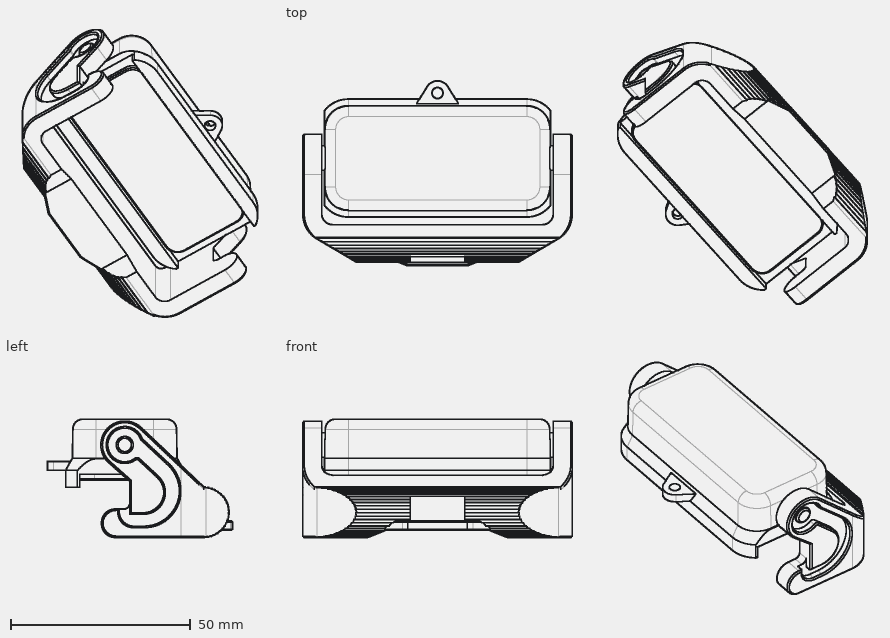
import cadquery as cq
import math


LEVER_WIDTH = 75.0
ARM_THICKNESS = 5.3
PIVOT_Z = 25.8
HEAD_RADIUS = 6.65
EDGE_CHAMFER = 0.45

PICK_MARGIN = 0.1

HALF_WIDTH = LEVER_WIDTH / 2
ARM_INNER_X = HALF_WIDTH - ARM_THICKNESS

GRIP_RADIUS = 7.05
GRIP_Y = -22.0
GRIP_BACK_Y = -18.5
GRIP_INNER_CORNER = 3.0
TOOTH_HEIGHT = 0.2
TOOTH_PITCH = 8.0
TOOTH_COUNT = 22
FIRST_TOOTH_ANGLE = 87.0

CORNER_RADIUS = 8.0
CORNER_START_Y = -15.6
END_ANGLE = 30.5

HOOK_HEIGHT = 8.0
HOOK_TIP_Y = 6.5
THROAT_Y = -1.36
THROAT_TOP_Z = 15.7
THROAT_FILLET = 1.5

TRACK_DEPTH = 2.2
TRACK_HEAD_RADIUS = 4.7
TRACK_ANGLE = 43.0
TRACK_BEND_Y = -5.2
TRACK_BEND_Z = 12.6
TRACK_OUTER_BEND_Y = -5.4
TRACK_OUTER_RADIUS = 9.8
TRACK_FLOOR_Z = 3.2
TRACK_END_Y = 1.5
TRACK_END_RADIUS = 4.0
TRACK_CORNER = 1.0
PIN_END_RADIUS = 2.37
PIN_END_HEIGHT = 1.0
PIN_END_CHAMFER = 0.5

PATCH_WIDTH = 15.1
PATCH_TOP_Z = 11.45
NOTCH_TOP_Z = 4.7
NOTCH_TOP_HALF = 11.5
NOTCH_KNEE_HALF = 14.5
NOTCH_KNEE_Z = 2.0
NOTCH_BASE_HALF = 19.5
TONGUE_TIP_Y = -30.0
TONGUE_TIP_HALF = 8.3
TONGUE_SIDE_Y = -29.4
TONGUE_SIDE_HALF = 9.8
TONGUE_ROOT_Y = -27.5
TONGUE_CHAMFER = 0.4

HOOD_TOP_Z = 33.0
HOOD_HALF_X = 31.4
HOOD_HALF_Y = 14.6
HOOD_CORNER = 6.6
HOOD_DRAFT = 1.0
HOOD_TOP_FILLET = 2.85
FLARE_TOP_Z = 22.1
FLARE_BASE_Z = 18.7
FLARE_GROWTH = 1.85
SKIRT_BASE_Z = 17.6
SKIRT_HALF_X = 31.5
WALL_BASE_Z = 14.0
WALL_INNER_Y = 12.5
LIP_BASE_Z = 16.0
LIP_HALF_X = 29.0
LIP_HALF_Y = WALL_INNER_Y
LIP_CORNER = 4.0
LIP_CHAMFER = 0.4
PIVOT_PIN_RADIUS = 3.45

TAB_BASE_Z = 18.7
TAB_THICKNESS = 2.5
TAB_HOLE_Y = 18.1
TAB_TIP_RADIUS = 3.4
TAB_HOLE_RADIUS = 1.5
TAB_ROOT_HALF = 5.8
TAB_ROOT_Y = 15.2


def polar(centre, radius, degrees):
    angle = math.radians(degrees)
    return (centre[0] + radius * math.cos(angle), centre[1] + radius * math.sin(angle))


def tangent_angle(point, centre, radius, side):
    """Angle on the circle where the tangent from an outside point touches it."""
    dx = point[0] - centre[0]
    dy = point[1] - centre[1]
    spread = math.degrees(math.acos(radius / math.hypot(dx, dy)))
    return math.degrees(math.atan2(dy, dx)) + side * spread


def block(x_half, y_range, z_range):
    return (
        cq.Workplane("XY")
        .box(2 * x_half, y_range[1] - y_range[0], z_range[1] - z_range[0], centered=(True, False, False))
        .translate((0, y_range[0], z_range[0]))
    )


def rounded_plate(half_x, half_y, corner, base_z, height, taper=0.0):
    sketch = cq.Sketch().rect(2 * half_x, 2 * half_y).vertices().fillet(corner)
    return cq.Workplane("XY").workplane(offset=base_z).placeSketch(sketch).extrude(height, taper=taper)


def lever_side():
    """Side outline of head, arm and hook, run across the whole width and flat where the grip joins."""
    pivot = (0.0, PIVOT_Z)
    grip_top = (GRIP_Y, 2 * GRIP_RADIUS)
    throat_top = (THROAT_Y, THROAT_TOP_Z)
    hook_radius = HOOK_HEIGHT / 2
    hook_y = HOOK_TIP_Y - hook_radius
    front_angle = tangent_angle(grip_top, pivot, HEAD_RADIUS, -1)
    rear_angle = tangent_angle(throat_top, pivot, HEAD_RADIUS, 1)

    return (
        cq.Workplane("YZ")
        .moveTo(*grip_top)
        .lineTo(GRIP_Y, 0)
        .lineTo(hook_y, 0)
        .threePointArc((HOOK_TIP_Y, hook_radius), (hook_y, HOOK_HEIGHT))
        .lineTo(THROAT_Y + THROAT_FILLET, HOOK_HEIGHT)
        .radiusArc((THROAT_Y, HOOK_HEIGHT + THROAT_FILLET), THROAT_FILLET)
        .lineTo(*throat_top)
        .lineTo(*polar(pivot, HEAD_RADIUS, rear_angle))
        .threePointArc(
            polar(pivot, HEAD_RADIUS, (front_angle % 360 + rear_angle % 360 - 360) / 2),
            polar(pivot, HEAD_RADIUS, front_angle),
        )
        .close()
        .extrude(HALF_WIDTH, both=True)
    )


def grip():
    """Half-round front of the bar, with saw teeth whose ledges face down and run along X."""
    centre = (GRIP_Y, GRIP_RADIUS)
    outline = cq.Workplane("YZ").moveTo(GRIP_Y, 2 * GRIP_RADIUS)
    for tooth in range(TOOTH_COUNT):
        angle = 180 - FIRST_TOOTH_ANGLE + tooth * TOOTH_PITCH
        outline = outline.lineTo(*polar(centre, GRIP_RADIUS, angle))
        outline = outline.lineTo(*polar(centre, GRIP_RADIUS - TOOTH_HEIGHT, angle))
    return outline.lineTo(GRIP_Y, 0).close().extrude(HALF_WIDTH, both=True)


def lever_plan():
    """U-shaped outline of the lever from above: two arms and a bar with slanted ends."""
    turn = math.radians(90 - END_ANGLE)
    corner_x = HALF_WIDTH - CORNER_RADIUS * (1 - math.cos(turn))
    corner_y = CORNER_START_Y - CORNER_RADIUS * math.sin(turn)
    front_y = GRIP_Y - GRIP_RADIUS
    front_x = corner_x - (corner_y - front_y) / math.tan(math.radians(END_ANGLE))
    mid_x = HALF_WIDTH - CORNER_RADIUS * (1 - math.cos(turn / 2))
    mid_y = CORNER_START_Y - CORNER_RADIUS * math.sin(turn / 2)
    outer = (
        cq.Workplane("XY")
        .moveTo(-HALF_WIDTH, HEAD_RADIUS)
        .lineTo(-HALF_WIDTH, CORNER_START_Y)
        .threePointArc((-mid_x, mid_y), (-corner_x, corner_y))
        .lineTo(-front_x, front_y)
        .lineTo(front_x, front_y)
        .lineTo(corner_x, corner_y)
        .threePointArc((mid_x, mid_y), (HALF_WIDTH, CORNER_START_Y))
        .lineTo(HALF_WIDTH, HEAD_RADIUS)
        .close()
        .extrude(HOOD_TOP_Z)
    )
    inner = block(ARM_INNER_X, (GRIP_BACK_Y, HEAD_RADIUS), (0, HOOD_TOP_Z))
    return outer.cut(inner.edges("|Z and <Y").fillet(GRIP_INNER_CORNER))


def distance_below_run(point):
    """Distance from a (Y, Z) point down to the sloped line through the pivot."""
    run = math.radians(TRACK_ANGLE)
    return (PIVOT_Z - point[1]) * math.cos(run) + point[0] * math.sin(run)


def track():
    """Sunk track on the -X arm: a disc at the pivot, a straight run, a bend and an end in the hook."""
    floor_x = -HALF_WIDTH + TRACK_DEPTH
    pivot = (0.0, PIVOT_Z)
    bend = (TRACK_BEND_Y, TRACK_BEND_Z)
    outer_bend = (TRACK_OUTER_BEND_Y, TRACK_FLOOR_Z + TRACK_OUTER_RADIUS)
    inner_radius = distance_below_run(bend)
    run_width = TRACK_OUTER_RADIUS - distance_below_run(outer_bend)
    run_normal = 90 + TRACK_ANGLE
    mid_bend = (run_normal + 270) / 2
    end_centre = (TRACK_END_Y - TRACK_END_RADIUS, TRACK_FLOOR_Z + TRACK_END_RADIUS)
    path = (
        cq.Workplane("YZ", origin=(floor_x, 0, 0))
        .moveTo(*pivot)
        .lineTo(*polar(bend, inner_radius, run_normal))
        .threePointArc(polar(bend, inner_radius, mid_bend), polar(bend, inner_radius, 270))
        .lineTo(THROAT_Y, TRACK_BEND_Z - inner_radius)
        .lineTo(THROAT_Y, THROAT_TOP_Z)
        .lineTo(TRACK_END_Y, THROAT_TOP_Z)
        .lineTo(TRACK_END_Y, end_centre[1])
        .threePointArc(polar(end_centre, TRACK_END_RADIUS, 315), polar(end_centre, TRACK_END_RADIUS, 270))
        .lineTo(TRACK_OUTER_BEND_Y, TRACK_FLOOR_Z)
        .threePointArc(
            polar(outer_bend, TRACK_OUTER_RADIUS, mid_bend),
            polar(outer_bend, TRACK_OUTER_RADIUS, run_normal),
        )
        .lineTo(*polar(pivot, run_width, run_normal))
        .close()
        .extrude(-TRACK_DEPTH)
    )
    disc = cq.Workplane("YZ", origin=(floor_x, 0, PIVOT_Z)).circle(TRACK_HEAD_RADIUS).extrude(-TRACK_DEPTH)
    joint = cq.selectors.BoxSelector(
        (-HALF_WIDTH, -TRACK_HEAD_RADIUS - PICK_MARGIN, PIVOT_Z - TRACK_HEAD_RADIUS),
        (floor_x, -PIN_END_RADIUS, PIVOT_Z + TRACK_HEAD_RADIUS),
    )
    whole = path.union(disc).edges("|X").edges(joint).fillet(TRACK_CORNER)
    pin_end = cq.Workplane("YZ", origin=(floor_x, 0, PIVOT_Z)).circle(PIN_END_RADIUS).extrude(-PIN_END_HEIGHT)
    return whole.cut(pin_end.faces("<X").chamfer(PIN_END_CHAMFER))


def label_patch():
    barrel = (
        cq.Workplane("YZ", origin=(-PATCH_WIDTH / 2, GRIP_Y, GRIP_RADIUS))
        .circle(GRIP_RADIUS)
        .extrude(PATCH_WIDTH)
    )
    return barrel.intersect(block(PATCH_WIDTH, (GRIP_Y - GRIP_RADIUS, GRIP_Y), (0, PATCH_TOP_Z)))


def finger_notch():
    return (
        cq.Workplane("XZ", origin=(0, GRIP_BACK_Y, 0))
        .polyline(
            [
                (-NOTCH_BASE_HALF, 0),
                (-NOTCH_KNEE_HALF, NOTCH_KNEE_Z),
                (-NOTCH_TOP_HALF, NOTCH_TOP_Z),
                (NOTCH_TOP_HALF, NOTCH_TOP_Z),
                (NOTCH_KNEE_HALF, NOTCH_KNEE_Z),
                (NOTCH_BASE_HALF, 0),
            ]
        )
        .close()
        .extrude(GRIP_BACK_Y - TONGUE_TIP_Y)
    )


def tongue():
    """Plate closing the notch from behind, reaching out past the grip at its front."""
    front = cq.selectors.BoxSelector(
        (-NOTCH_KNEE_HALF, TONGUE_TIP_Y - PICK_MARGIN, 0), (NOTCH_KNEE_HALF, TONGUE_ROOT_Y, HOOD_TOP_Z)
    )
    return (
        cq.Workplane("XY", origin=(0, 0, NOTCH_KNEE_Z))
        .polyline(
            [
                (-NOTCH_KNEE_HALF, GRIP_BACK_Y),
                (-NOTCH_KNEE_HALF, TONGUE_ROOT_Y),
                (-TONGUE_SIDE_HALF, TONGUE_SIDE_Y),
                (-TONGUE_TIP_HALF, TONGUE_TIP_Y),
                (TONGUE_TIP_HALF, TONGUE_TIP_Y),
                (TONGUE_SIDE_HALF, TONGUE_SIDE_Y),
                (NOTCH_KNEE_HALF, TONGUE_ROOT_Y),
                (NOTCH_KNEE_HALF, GRIP_BACK_Y),
            ]
        )
        .close()
        .extrude(NOTCH_TOP_Z - NOTCH_KNEE_Z)
        .edges("#Z")
        .edges(front)
        .chamfer(TONGUE_CHAMFER)
    )


def lever():
    plan = lever_plan()
    body = lever_side().intersect(plan)
    left_track = track()
    body = body.cut(left_track).cut(left_track.mirror("YZ"))
    corner_line = cq.selectors.BoxSelector(
        (-LEVER_WIDTH, CORNER_START_Y - PICK_MARGIN, 0),
        (LEVER_WIDTH, CORNER_START_Y + PICK_MARGIN, HOOD_TOP_Z),
    )
    for side in ("<X", ">X"):
        body = body.faces(side).edges(-corner_line).chamfer(EDGE_CHAMFER)
    body = body.union(grip().intersect(plan)).union(label_patch())
    return body.cut(finger_notch()).union(tongue())


def tether_tab():
    hole_centre = (0.0, TAB_HOLE_Y)
    root = (TAB_ROOT_HALF, TAB_ROOT_Y)
    touch = polar(hole_centre, TAB_TIP_RADIUS, tangent_angle(root, hole_centre, TAB_TIP_RADIUS, 1))
    return (
        cq.Workplane("XY", origin=(0, 0, TAB_BASE_Z))
        .moveTo(TAB_ROOT_HALF, HOOD_HALF_Y)
        .lineTo(*root)
        .lineTo(*touch)
        .threePointArc((0, TAB_HOLE_Y + TAB_TIP_RADIUS), (-touch[0], touch[1]))
        .lineTo(-TAB_ROOT_HALF, TAB_ROOT_Y)
        .lineTo(-TAB_ROOT_HALF, HOOD_HALF_Y)
        .close()
        .moveTo(*hole_centre)
        .circle(TAB_HOLE_RADIUS)
        .extrude(TAB_THICKNESS)
    )


def hood():
    cap = rounded_plate(
        HOOD_HALF_X, HOOD_HALF_Y, HOOD_CORNER, FLARE_TOP_Z, HOOD_TOP_Z - FLARE_TOP_Z, HOOD_DRAFT
    )
    cap = cap.faces(">Z").edges().fillet(HOOD_TOP_FILLET)

    wide_x = HOOD_HALF_X + FLARE_GROWTH
    wide_y = HOOD_HALF_Y + FLARE_GROWTH
    wide_corner = HOOD_CORNER + FLARE_GROWTH
    flare_height = FLARE_TOP_Z - FLARE_BASE_Z
    flare_angle = math.degrees(math.atan(FLARE_GROWTH / flare_height))
    flare = rounded_plate(wide_x, wide_y, wide_corner, FLARE_BASE_Z, flare_height, flare_angle)
    wall = rounded_plate(wide_x, wide_y, wide_corner, WALL_BASE_Z, FLARE_BASE_Z - WALL_BASE_Z)
    hollow = block(wide_x, (-WALL_INNER_Y, WALL_INNER_Y), (WALL_BASE_Z, SKIRT_BASE_Z))
    skirt = flare.union(wall.cut(hollow))
    skirt = skirt.intersect(block(SKIRT_HALF_X, (-wide_y, wide_y), (WALL_BASE_Z, HOOD_TOP_Z)))

    lip = rounded_plate(LIP_HALF_X, LIP_HALF_Y, LIP_CORNER, LIP_BASE_Z, FLARE_BASE_Z - LIP_BASE_Z)
    lip = lip.faces("<Z").edges().chamfer(LIP_CHAMFER)
    return cap.union(skirt).union(lip).union(tether_tab())


def pivot_pin():
    """Shoulder that joins both arms to the hood; it runs through the solid hood."""
    return (
        cq.Workplane("YZ", origin=(0, 0, PIVOT_Z)).circle(PIVOT_PIN_RADIUS).extrude(ARM_INNER_X, both=True)
    )


result = lever().union(hood()).union(pivot_pin())